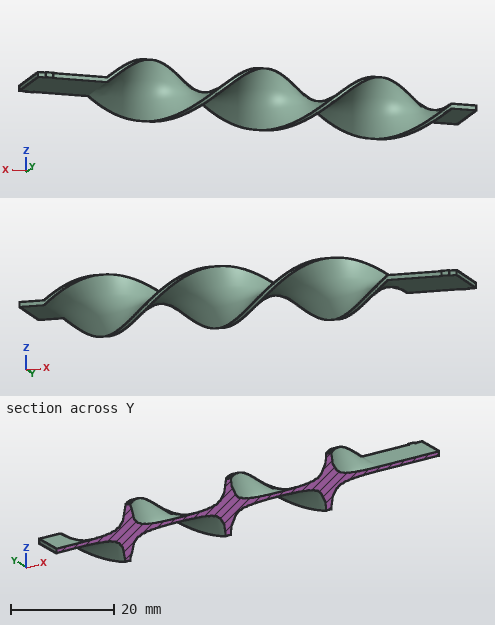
import cadquery as cq

strip_width = 12.0
strip_thickness = 1.0
short_tab_length = 5.0
twist_length = 70.0
long_tab_length = 14.0
half_turns = 3
twist_angle = -180.0 * half_turns

bump_height = 0.3
bump_length = 1.5
bump_end_gap = 1.5

twist_start = short_tab_length
twist_end = twist_start + twist_length
strip_end = twist_end + long_tab_length
bump_start = strip_end - bump_end_gap - bump_length


def flat_bar(start, length, width):
    """Flat bar of the strip's thickness from X = start, centred on the X axis."""
    bar = cq.Workplane("XY").box(length, width, strip_thickness, centered=(False, True, True))
    return bar.translate((start, 0, 0))


def twisted_strip():
    """Strip section swept along X while it turns about the X axis."""
    return (
        cq.Workplane("YZ", origin=(twist_start, 0, 0))
        .rect(strip_width, strip_thickness)
        .twistExtrude(twist_length, twist_angle)
    )


def long_tab():
    """Flat tab with a wider bar across it, whose ends stand out as the two bumps."""
    tab = flat_bar(twist_end, long_tab_length, strip_width)
    bumps = flat_bar(bump_start, bump_length, strip_width + 2 * bump_height)
    return tab.union(bumps)


short_tab = flat_bar(0, short_tab_length, strip_width)
result = short_tab.union(twisted_strip()).union(long_tab())